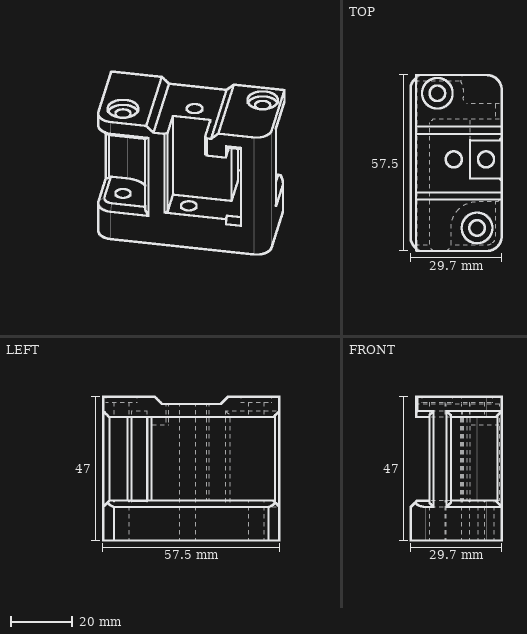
import cadquery as cq
import math

WIDTH = 29.7
LENGTH = 57.5
HEIGHT = 47.0
HALF_LENGTH = LENGTH / 2

CORNER_RADIUS = 5.0
CORNER_TRUNCATION = 0.25
RIM_CHAMFER = 2.0
BASE_TOP = 13.0
PLATE_BOTTOM = 40.25
PLATE_LEFT = 1.7
PLATE_BEVEL_X = 0.5
PLATE_BEVEL_Y = 0.25

FRONT_SCREW = (21.6, -21.15)
BACK_SCREW = (8.7, 22.75)
SCREW_DIAMETER = 5.0
SCREW_HEAD_DIAMETER = 10.0
SCREW_HEAD_DEPTH = 2.0
SCREW_CLEARANCE = 8.55

WEB_LEFT = 6.05
WEB_RIGHT = FRONT_SCREW[0] - SCREW_CLEARANCE
RIB_FRONT = FRONT_SCREW[1] + SCREW_CLEARANCE
WEB_CHAMFER = 1.4

SLOT_FRONT = 14.45
SLOT_WIDTH = 5.0
SLOT_BACK = SLOT_FRONT + SLOT_WIDTH

NOTCH_LEFT = 19.3
NOTCH_CENTER_Y = 1.2
NOTCH_HALF_WIDTH = 6.2
NOTCH_CHAMFER = 0.8
WINDOW_TOP = 37.65
CENTER_HOLES_X = (14.05, 24.55)
CENTER_HOLE_DIAMETER = 5.2

RECESS_HALF_WIDTH = 11.95
RECESS_DEPTH = 2.4


def box(x_range, y_range, z_range):
    """Axis-aligned block given its limits along each axis."""
    corner = (x_range[0], y_range[0], z_range[0])
    size = (x_range[1] - x_range[0], y_range[1] - y_range[0], z_range[1] - z_range[0])
    return cq.Workplane("XY").box(*size, centered=False).translate(corner)


def cylinder(center, diameter, bottom, top):
    """Upright cylinder at an (x, y) centre."""
    return cq.Workplane("XY", origin=(*center, bottom)).circle(diameter / 2).extrude(top - bottom)


def hollow_point(screw, angle):
    """Point on the clearance circle of a screw, angle in degrees from +X."""
    turn = math.radians(angle)
    return (screw[0] + SCREW_CLEARANCE * math.cos(turn), screw[1] + SCREW_CLEARANCE * math.sin(turn))


def make_base():
    block = (
        box((0, WIDTH), (-HALF_LENGTH, HALF_LENGTH), (0, BASE_TOP))
        .edges("|Z and >X").fillet(CORNER_RADIUS)
        .faces(">Z").chamfer(RIM_CHAMFER)
    )
    left_rounding = (
        box((-CORNER_TRUNCATION, WIDTH), (-HALF_LENGTH, HALF_LENGTH), (0, BASE_TOP))
        .edges("|Z and <X").fillet(CORNER_RADIUS)
    )
    return block.intersect(left_rounding)


def make_plate():
    plate = (
        box((PLATE_LEFT, WIDTH), (-HALF_LENGTH, HALF_LENGTH), (PLATE_BOTTOM, HEIGHT))
        .edges("|Z and >X").fillet(CORNER_RADIUS)
        .faces("<Z").edges("not <X").chamfer(RIM_CHAMFER)
    )
    bevel = (
        cq.Workplane("XY")
        .moveTo(PLATE_LEFT, -HALF_LENGTH)
        .lineTo(PLATE_LEFT + PLATE_BEVEL_X, -HALF_LENGTH)
        .lineTo(PLATE_LEFT, -HALF_LENGTH + PLATE_BEVEL_Y)
        .close()
        .extrude(HEIGHT)
    )
    return plate.cut(bevel)


def raise_core(outline):
    """Extrude a web outline so that it also fills the bevels where it is flush with the outside."""
    bottom = BASE_TOP - RIM_CHAMFER
    height = PLATE_BOTTOM + RIM_CHAMFER - bottom
    return outline.close().extrude(height).translate((0, 0, bottom))


def make_web():
    """Web along the front half, with the rib block behind the front screw."""
    return raise_core(
        cq.Workplane("XY")
        .moveTo(WEB_LEFT, -HALF_LENGTH + WEB_CHAMFER)
        .lineTo(WEB_LEFT + WEB_CHAMFER, -HALF_LENGTH)
        .lineTo(WEB_RIGHT - WEB_CHAMFER, -HALF_LENGTH)
        .lineTo(WEB_RIGHT, -HALF_LENGTH + WEB_CHAMFER)
        .lineTo(WEB_RIGHT, FRONT_SCREW[1])
        .threePointArc(hollow_point(FRONT_SCREW, 135), (FRONT_SCREW[0], RIB_FRONT))
        .lineTo(WIDTH - WEB_CHAMFER, RIB_FRONT)
        .lineTo(WIDTH, RIB_FRONT + WEB_CHAMFER)
        .lineTo(WIDTH, SLOT_FRONT)
        .lineTo(WEB_LEFT + WEB_CHAMFER, SLOT_FRONT)
        .lineTo(WEB_LEFT, SLOT_FRONT - WEB_CHAMFER)
    )


def make_post():
    """Post at the back right, hollowed around the back screw."""
    hollow_x, hollow_y = BACK_SCREW
    chamfer_y = SLOT_BACK + WEB_CHAMFER
    chamfer_x = hollow_x + math.sqrt(SCREW_CLEARANCE ** 2 - (chamfer_y - hollow_y) ** 2)
    rim_y = HALF_LENGTH - RIM_CHAMFER
    rim_x = hollow_x + math.sqrt(SCREW_CLEARANCE ** 2 - (rim_y - hollow_y) ** 2)
    back_x = hollow_x + math.sqrt(SCREW_CLEARANCE ** 2 - (HALF_LENGTH - hollow_y) ** 2) + RIM_CHAMFER
    round_center = (WIDTH - CORNER_RADIUS, HALF_LENGTH - CORNER_RADIUS)
    round_middle = CORNER_RADIUS * math.sqrt(0.5)
    return raise_core(
        cq.Workplane("XY")
        .moveTo(chamfer_x + WEB_CHAMFER, SLOT_BACK)
        .lineTo(WIDTH, SLOT_BACK)
        .lineTo(WIDTH, round_center[1])
        .threePointArc(
            (round_center[0] + round_middle, round_center[1] + round_middle),
            (round_center[0], HALF_LENGTH),
        )
        .lineTo(back_x, HALF_LENGTH)
        .lineTo(rim_x, rim_y)
        .threePointArc(hollow_point(BACK_SCREW, 0), (chamfer_x, chamfer_y))
    )


def make_notch():
    """Notch with a flared mouth, and the opening from it into the slot."""
    mouth_half_width = NOTCH_HALF_WIDTH + NOTCH_CHAMFER
    notch = (
        cq.Workplane("XY", origin=(0, NOTCH_CENTER_Y, BASE_TOP))
        .moveTo(NOTCH_LEFT, -NOTCH_HALF_WIDTH)
        .lineTo(WIDTH - NOTCH_CHAMFER, -NOTCH_HALF_WIDTH)
        .lineTo(WIDTH, -mouth_half_width)
        .lineTo(WIDTH, mouth_half_width)
        .lineTo(WIDTH - NOTCH_CHAMFER, NOTCH_HALF_WIDTH)
        .lineTo(NOTCH_LEFT, NOTCH_HALF_WIDTH)
        .close()
        .extrude(HEIGHT - BASE_TOP)
    )
    window = box((NOTCH_LEFT, WIDTH), (NOTCH_CENTER_Y, SLOT_FRONT), (BASE_TOP, WINDOW_TOP))
    return notch.union(window)


def make_recess():
    floor_half_width = RECESS_HALF_WIDTH - RECESS_DEPTH
    return (
        cq.Workplane("YZ")
        .moveTo(-RECESS_HALF_WIDTH, HEIGHT)
        .lineTo(-floor_half_width, HEIGHT - RECESS_DEPTH)
        .lineTo(floor_half_width, HEIGHT - RECESS_DEPTH)
        .lineTo(RECESS_HALF_WIDTH, HEIGHT)
        .close()
        .extrude(WIDTH)
    )


result = make_base().union(make_plate()).union(make_web()).union(make_post())
result = result.cut(make_notch()).cut(make_recess())

for screw in (FRONT_SCREW, BACK_SCREW):
    result = result.cut(cylinder(screw, SCREW_DIAMETER, 0, HEIGHT))
    result = result.cut(cylinder(screw, SCREW_HEAD_DIAMETER, HEIGHT - SCREW_HEAD_DEPTH, HEIGHT))

for hole_x in CENTER_HOLES_X:
    result = result.cut(cylinder((hole_x, NOTCH_CENTER_Y), CENTER_HOLE_DIAMETER, 0, HEIGHT))